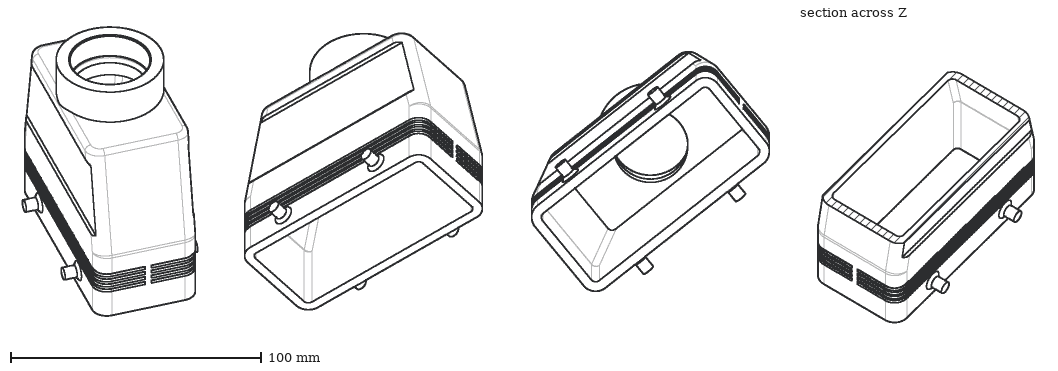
import cadquery as cq
import math

length = 93.5
width = 43.3
overall_width = 56.0
overall_height = 91.0
roof_height = 75.9
blend_start = 29.0
taper_blend = 6.4
taper_angle = 11.2
corner_radius = 6.2
roof_fillet = 2.3
wall = 3.9

recess_bottom = 37.0
recess_top = 69.6
recess_depth = 1.0

groove_count = 4
groove_pitch = 2.5
groove_top = 20.4
groove_depth = 0.7
groove_gap = 2.8

pin_spacing = 47.3
pin_height = 7.5
pin_diameter = 5.05
root_diameter = 8.1
root_length = 1.3

collar_diameter = 43.0
entry_diameter = 32.0
entry_chamfer = 0.5
entry_depth = 10.5
relief_diameter = 32.7
relief_depth = 12.9
relief_fillet = 1.5
bore_diameter = 29.8


def housing_solid(inset):
    """Housing block with all its walls and the roof moved inwards by inset.

    The upright sides blend tangentially into the tapered sides, and the corners
    are rounded along their whole height.
    """
    taper = math.radians(taper_angle)
    half = length / 2 - inset
    blend_radius = taper_blend - inset
    blend_center = half - blend_radius
    blend_middle = (
        blend_center + blend_radius * math.cos(taper / 2),
        blend_start + blend_radius * math.sin(taper / 2),
    )
    blend_end = (
        blend_center + blend_radius * math.cos(taper),
        blend_start + blend_radius * math.sin(taper),
    )
    roof = roof_height - inset
    roof_half = blend_end[0] - (roof - blend_end[1]) * math.tan(taper)
    half_block = (
        cq.Workplane("XZ")
        .lineTo(half, 0)
        .lineTo(half, blend_start)
        .threePointArc(blend_middle, blend_end)
        .lineTo(roof_half, roof)
        .lineTo(0, roof)
        .close()
        .extrude(width / 2 - inset, both=True)
    )
    block = half_block.union(half_block.mirror("YZ")).clean()
    return block.edges("not(|X or |Y)").fillet(corner_radius - inset)


def face_recess():
    """Cutter for the recess in the -Y face."""
    face = -width / 2
    return (
        cq.Workplane("YZ")
        .polyline([
            (face, recess_bottom),
            (face + recess_depth, recess_bottom + recess_depth),
            (face + recess_depth, recess_top - recess_depth),
            (face, recess_top),
        ])
        .close()
        .extrude(length / 2, both=True)
    )


def groove(center_z):
    """Cutter for one V groove: a ring around the housing less the two end gaps."""
    path = (
        cq.Workplane("XY", origin=(0, 0, center_z))
        .rect(length, width)
        .extrude(groove_depth)
        .edges("|Z")
        .fillet(corner_radius)
        .faces("<Z")
        .wires()
    )
    section = (
        cq.Workplane("YZ", origin=(0, -width / 2, center_z))
        .polyline([(0, groove_depth), (groove_depth, 0), (0, -groove_depth)])
        .close()
    )
    gap = cq.Workplane("XY", origin=(0, 0, center_z)).box(2 * length, groove_gap, 2 * groove_pitch)
    return section.sweep(path).cut(gap)


def pin(x, side):
    """Pin on one broad face, side being -1 or +1 in Y, with its root cone."""
    face = width / 2
    buried = face - wall / 2
    half_profile = [
        (0, buried),
        (root_diameter / 2, buried),
        (root_diameter / 2, face),
        (pin_diameter / 2, face + root_length),
        (pin_diameter / 2, overall_width / 2),
        (0, overall_width / 2),
    ]
    turned = cq.Workplane("XY").polyline(half_profile).close().revolve(360, (0, 0), (0, 1))
    if side < 0:
        turned = turned.mirror("XZ")
    return turned.translate((x, 0, pin_height))


def collar_bore():
    """Cutter for the stepped bore, from the collar mouth down into the cavity."""
    top = overall_height
    entry = entry_diameter / 2
    relief = relief_diameter / 2
    bore = bore_diameter / 2
    seat = top - relief_depth
    bottom = roof_height - 2 * wall
    fillet_mid = relief_fillet * (1 - math.sqrt(0.5))
    return (
        cq.Workplane("XZ")
        .moveTo(0, top)
        .lineTo(entry + entry_chamfer, top)
        .lineTo(entry, top - entry_chamfer)
        .lineTo(entry, top - entry_depth)
        .lineTo(relief, top - entry_depth)
        .lineTo(relief, seat + relief_fillet)
        .threePointArc((relief - fillet_mid, seat + fillet_mid), (relief - relief_fillet, seat))
        .lineTo(bore, seat)
        .lineTo(bore, bottom)
        .lineTo(0, bottom)
        .close()
        .revolve(360, (0, 0), (0, 1))
    )


body = housing_solid(0).faces(">Z").edges().fillet(roof_fillet)

recess = face_recess()
body = body.cut(recess).cut(recess.mirror("XZ"))

for index in range(groove_count):
    body = body.cut(groove(groove_top - index * groove_pitch))

for pin_x in (-pin_spacing / 2, pin_spacing / 2):
    for pin_side in (-1, 1):
        body = body.union(pin(pin_x, pin_side))

collar_base = roof_height - wall
collar = (
    cq.Workplane("XY", origin=(0, 0, collar_base))
    .circle(collar_diameter / 2)
    .extrude(overall_height - collar_base)
)
body = body.union(collar)

result = body.cut(housing_solid(wall)).cut(collar_bore())